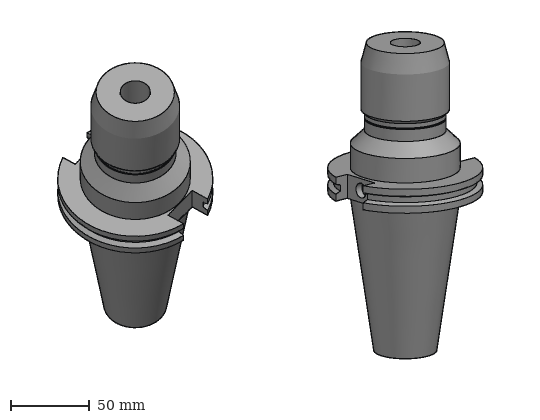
import cadquery as cq

gauge_diameter = 69.85
taper_length = 101.6
taper_ratio = 7 / 24
small_end_diameter = gauge_diameter - taper_length * taper_ratio

flange_diameter = 98.425
flange_bottom = 3.175
flange_top = 19.05
groove_floor_diameter = 91.3
groove_center = (flange_bottom + flange_top) / 2
groove_mouth_width = 6.6
groove_floor_width = 3.8

slot_width = 25.908
slot_floor_left = 37.72
slot_floor_right = 35.31

slot_hole_diameter = 9.525
slot_hole_depth = 5.08
slot_hole_height = (flange_bottom + flange_top) / 2

nose_top = 101.6
shoulder_diameter = gauge_diameter
shoulder_top = 35.2
neck_diameter = 52.0
neck_bottom = 43.85
neck_top = 55.6
neck_groove_center = 52.1
neck_groove_width = 0.8
neck_groove_depth = 0.8
nose_diameter = 56.4
nose_bottom_chamfer = (nose_diameter - neck_diameter) / 2
nose_cone_length = 13.0
nose_tip_diameter = 49.6

bore_diameter = 19.05
bore_depth = 60.0


def make_turned_body():
    """Revolve the whole outside profile, from the small taper end up to the nose tip."""
    half_mouth = groove_mouth_width / 2
    half_floor = groove_floor_width / 2
    half_neck_groove = neck_groove_width / 2
    neck_groove_diameter = neck_diameter - 2 * neck_groove_depth
    stations = [
        (small_end_diameter, -taper_length),
        (gauge_diameter, 0),
        (gauge_diameter, flange_bottom),
        (flange_diameter, flange_bottom),
        (flange_diameter, groove_center - half_mouth),
        (groove_floor_diameter, groove_center - half_floor),
        (groove_floor_diameter, groove_center + half_floor),
        (flange_diameter, groove_center + half_mouth),
        (flange_diameter, flange_top),
        (shoulder_diameter, flange_top),
        (shoulder_diameter, shoulder_top),
        (neck_diameter, neck_bottom),
        (neck_diameter, neck_groove_center - half_neck_groove),
        (neck_groove_diameter, neck_groove_center - half_neck_groove),
        (neck_groove_diameter, neck_groove_center + half_neck_groove),
        (neck_diameter, neck_groove_center + half_neck_groove),
        (neck_diameter, neck_top),
        (nose_diameter, neck_top + nose_bottom_chamfer),
        (nose_diameter, nose_top - nose_cone_length),
        (nose_tip_diameter, nose_top),
    ]
    outline = [(0, -taper_length)]
    outline += [(diameter / 2, height) for diameter, height in stations]
    outline.append((0, nose_top))
    return cq.Workplane("XZ").polyline(outline).close().revolve(360, (0, 0), (0, 1))


def make_drive_slot(floor_distance, side):
    """Box that cuts one drive slot; side is -1 for -X and +1 for +X."""
    slot_depth = flange_diameter / 2 - floor_distance
    slot_center = side * (floor_distance + slot_depth / 2)
    return (
        cq.Workplane("XY", origin=(slot_center, 0, flange_bottom))
        .rect(slot_depth, slot_width)
        .extrude(flange_top - flange_bottom)
    )


def make_slot_hole():
    """Blind hole running in +X from the floor of the left slot."""
    return (
        cq.Workplane("YZ", origin=(-slot_floor_left, 0, slot_hole_height))
        .circle(slot_hole_diameter / 2)
        .extrude(slot_hole_depth)
    )


def make_bore():
    """Blind tool bore running down from the nose tip."""
    return (
        cq.Workplane("XY", origin=(0, 0, nose_top))
        .circle(bore_diameter / 2)
        .extrude(-bore_depth)
    )


result = (
    make_turned_body()
    .cut(make_drive_slot(slot_floor_left, -1))
    .cut(make_drive_slot(slot_floor_right, 1))
    .cut(make_slot_hole())
    .cut(make_bore())
)